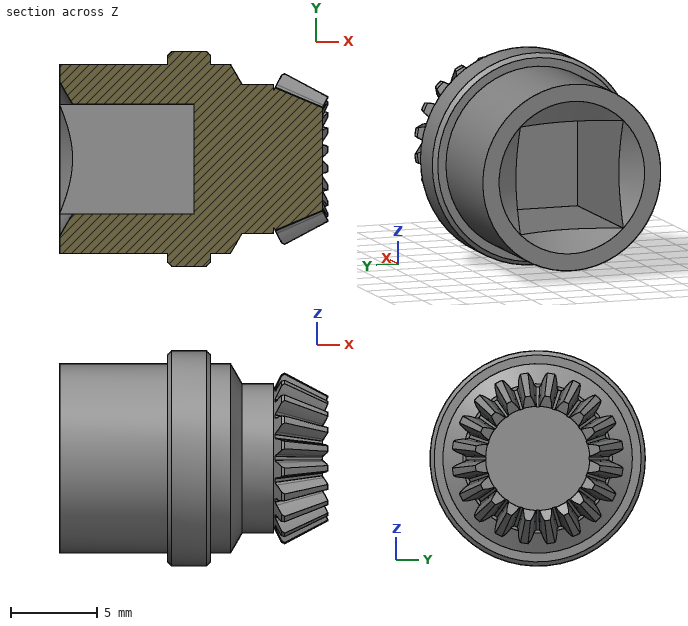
import cadquery as cq
import math

length = 15.55
body_radius = 10.98 / 2
collar_radius = 12.49 / 2
collar_start = 6.25
collar_end = 8.75
collar_chamfer = 0.25
shoulder_start = 9.9
neck_start = 10.57
neck_radius = 8.66 / 2

square_side = 6.35
square_depth = 7.78
lead_in_radius = square_side / math.sqrt(2)
lead_in_half_angle = 60.0

tooth_count = 20
apex_x = 22.35
pitch_slope = 0.5
heel_x = 13.05
heel_tip_radius = 4.98
heel_corner_chamfer = 0.19
root_slope = 0.42
toe_root_x = 15.24
gear_back_radius = 7.93 / 2

tip_half_width = 0.22
middle_half_width = 0.35
flank_half_width = 0.44
base_half_width = 0.51
fillet_height = 0.19
fillet_dip = 0.02
tooth_foot_depth = 0.31

trim_overrun = 0.15

tip_slope = heel_tip_radius / (apex_x - heel_x)
toe_tip_radius = tip_slope * (apex_x - length)
heel_corner_x = heel_x - heel_corner_chamfer
heel_corner_radius = heel_tip_radius - pitch_slope * heel_corner_chamfer

neck_end = heel_corner_x - pitch_slope * (heel_corner_radius - gear_back_radius)


def revolve_about_x(points):
    """Solid of revolution about X from (x, radius) points."""
    return cq.Workplane("XY").polyline(points).close().revolve(360, (0, 0, 0), (1, 0, 0))


def make_body():
    """Socket barrel, chamfered collar, shoulder and neck."""
    return revolve_about_x([
        (0, 0),
        (0, body_radius),
        (collar_start, body_radius),
        (collar_start, collar_radius - collar_chamfer),
        (collar_start + collar_chamfer, collar_radius),
        (collar_end - collar_chamfer, collar_radius),
        (collar_end, collar_radius - collar_chamfer),
        (collar_end, body_radius),
        (shoulder_start, body_radius),
        (neck_start, neck_radius),
        (neck_end, neck_radius),
        (neck_end, 0),
    ])


def make_socket():
    """Blind square hole joined with the conical lead-in at its mouth."""
    square = cq.Workplane("YZ").rect(square_side, square_side).extrude(square_depth)
    cone_depth = lead_in_radius / math.tan(math.radians(lead_in_half_angle))
    lead_in = revolve_about_x([(0, 0), (0, lead_in_radius), (cone_depth, 0)])
    return square.union(lead_in)


def root_radius(x):
    """Radius of the root cone at x."""
    return root_slope * (apex_x - x)


def make_root_cone():
    """Untrimmed solid cone at the bottom of the tooth gaps."""
    start = neck_end - trim_overrun
    end = length + trim_overrun
    return revolve_about_x([
        (start, 0),
        (start, root_radius(start)),
        (end, root_radius(end)),
        (end, 0),
    ])


def make_gear_envelope():
    """Revolved limits of the gear: back cone, heel corner, tip cone and toe cone."""
    toe_bottom_radius = toe_tip_radius - (length - toe_root_x) / pitch_slope
    return revolve_about_x([
        (neck_end, 0),
        (neck_end, gear_back_radius),
        (heel_corner_x, heel_corner_radius),
        (heel_x, heel_tip_radius),
        (length, toe_tip_radius),
        (toe_root_x, toe_bottom_radius),
        (toe_root_x, 0),
    ])


def tooth_section(x):
    """Untrimmed tooth outline about the Z direction in the plane at x, as a wire."""
    scale = (apex_x - x) / (apex_x - heel_x)
    root = root_radius(heel_x)
    flank_start = root + fillet_height
    middle = (flank_start + heel_tip_radius) / 2
    fillet_middle_width = (flank_half_width + base_half_width) / 2 - fillet_dip
    fillet_middle = root + fillet_height / 2 - fillet_dip
    sunk = root - tooth_foot_depth
    raised = heel_tip_radius + trim_overrun

    def at(y, z):
        return (y * scale, z * scale)

    outline = (
        cq.Workplane("YZ", origin=(x, 0, 0))
        .moveTo(*at(-base_half_width, sunk))
        .lineTo(*at(-base_half_width, root))
        .threePointArc(at(-fillet_middle_width, fillet_middle), at(-flank_half_width, flank_start))
        .threePointArc(at(-middle_half_width, middle), at(-tip_half_width, heel_tip_radius))
        .lineTo(*at(-tip_half_width, raised))
        .lineTo(*at(tip_half_width, raised))
        .lineTo(*at(tip_half_width, heel_tip_radius))
        .threePointArc(at(middle_half_width, middle), at(flank_half_width, flank_start))
        .threePointArc(at(fillet_middle_width, fillet_middle), at(base_half_width, root))
        .lineTo(*at(base_half_width, sunk))
        .close()
    )
    return outline.val()


def make_gear():
    """Root cone carrying the ring of teeth, with a gap centred on each of the Y and Z axes."""
    pitch_angle = 360.0 / tooth_count
    heel_section = tooth_section(neck_end - trim_overrun)
    toe_section = tooth_section(length + trim_overrun)
    tooth = cq.Workplane(cq.Solid.makeLoft([heel_section, toe_section], True))
    gear = make_root_cone()
    for i in range(tooth_count):
        gear = gear.union(tooth.rotate((0, 0, 0), (1, 0, 0), (i + 0.5) * pitch_angle))
    return gear.intersect(make_gear_envelope())


result = make_body().cut(make_socket()).union(make_gear())